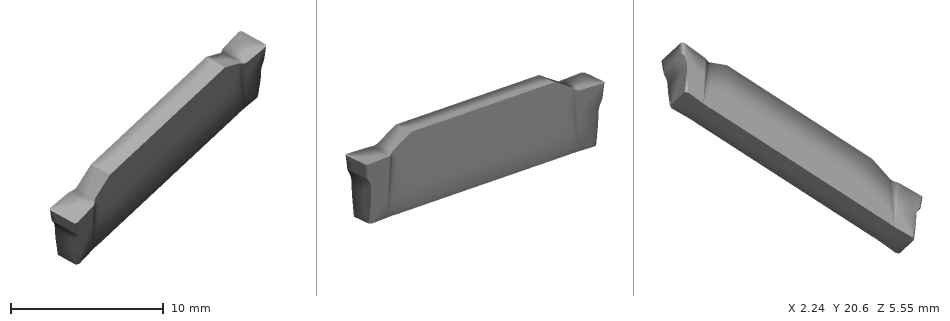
import cadquery as cq
import math

length = 20.62
height = 5.55
body_width = 1.57

head_height = 4.47
head_back = 8.2
head_back_half_top = 1.01
head_back_half_base = body_width / 2
head_front_half_top = 1.13
blend_length = 0.41
blend_inset = head_back_half_top - body_width / 2
head_corner_radius = 0.2
draft = (head_back_half_top - head_back_half_base) / head_height

clearance_depth = 0.1
clearance_base = 3.45
relief_end = 9.8
relief_base = 2.41

ramp_start = 8.1
shoulder_foot = 7.98
shoulder_foot_rise = 0.05
shoulder_top = 6.19

facet_height = 1.57
facet_width = 0.12
facet_length = 0.23

notch_start = 8.06
notch_peak = 7.7
notch_end = 7.59
notch_height = 0.4
notch_depth = 0.02


def side_profile():
    """Whole silhouette in the YZ plane, extruded wider than the part."""
    lip = length / 2 - clearance_depth
    rise = clearance_base - relief_base
    depth = lip - relief_end
    radius = (rise**2 + depth**2) / (2 * depth)
    half_angle = math.asin(rise / radius) / 2
    arc_mid = (
        relief_end + radius * (1 - math.cos(half_angle)),
        relief_base + radius * math.sin(half_angle),
    )
    half = (
        cq.Workplane("YZ")
        .lineTo(relief_end, 0)
        .lineTo(relief_end, relief_base)
        .threePointArc(arc_mid, (lip, clearance_base))
        .lineTo(length / 2, head_height)
        .lineTo(ramp_start, head_height)
        .lineTo(shoulder_foot, head_height + shoulder_foot_rise)
        .lineTo(shoulder_top, height)
        .lineTo(0, height)
        .close()
        .extrude(head_front_half_top * 2, both=True)
    )
    return half.union(half.mirror("XZ"))


def head_block():
    """Drafted head at +Y, narrowing downwards and backwards, with its blend to the body."""

    def plan(z):
        inset = draft * (head_height - z)
        half_points = [
            (head_front_half_top - inset, length / 2),
            (head_back_half_top - inset, head_back),
            (head_back_half_top - inset - blend_inset, head_back - blend_length),
        ]
        mirrored = [(-x, y) for x, y in reversed(half_points)]
        return half_points + mirrored

    return (
        cq.Workplane("XY")
        .polyline(plan(0))
        .close()
        .workplane(offset=height)
        .polyline(plan(height))
        .close()
        .loft(ruled=True)
    )


def tetrahedron(corners):
    """Solid with four triangular faces, one opposite each corner."""
    faces = []
    for skipped in range(4):
        triangle = [cq.Vector(*p) for i, p in enumerate(corners) if i != skipped]
        faces.append(cq.Face.makeFromWires(cq.Wire.makePolygon(triangle, close=True)))
    return cq.Workplane(cq.Solid.makeSolid(cq.Shell.makeShell(faces)))


def at_four_corners(tool):
    """Tool repeated in all four quadrants of the XY plane."""
    pair = tool.union(tool.mirror("YZ"))
    return pair.union(pair.mirror("XZ"))


def corner_facet():
    """Cut removing the lower +X +Y corner, tapering to nothing at the facet height."""
    side_slope = (head_front_half_top - head_back_half_top) / (length / 2 - head_back)

    def side(y, z):
        return head_back_half_base + side_slope * (y - head_back) + draft * z

    corner = (side(relief_end, 0), relief_end, 0)
    side_end = relief_end - facet_length
    return tetrahedron([
        corner,
        (corner[0] - facet_width, relief_end, 0),
        (side(side_end, 0), side_end, 0),
        (side(relief_end, facet_height), relief_end, facet_height),
    ])


def side_notch():
    """Shallow notch in the +X side, deepest below its peak at the base."""
    side = body_width / 2
    return tetrahedron([
        (side, notch_start, 0),
        (side, notch_end, 0),
        (side, notch_peak, notch_height),
        (side - notch_depth, notch_peak, 0),
    ])


slab = cq.Workplane("XY").box(body_width, 2 * head_back, height, centered=(True, True, False))
head = head_block()
result = slab.union(head).union(head.mirror("XZ")).intersect(side_profile())

for end in (-1, 1):
    for side in (-1, 1):
        corner = (
            side * head_front_half_top,
            end * length / 2,
            (head_height + clearance_base) / 2,
        )
        result = result.edges(cq.NearestToPointSelector(corner)).fillet(head_corner_radius)

result = result.cut(at_four_corners(corner_facet()))
result = result.cut(at_four_corners(side_notch()))